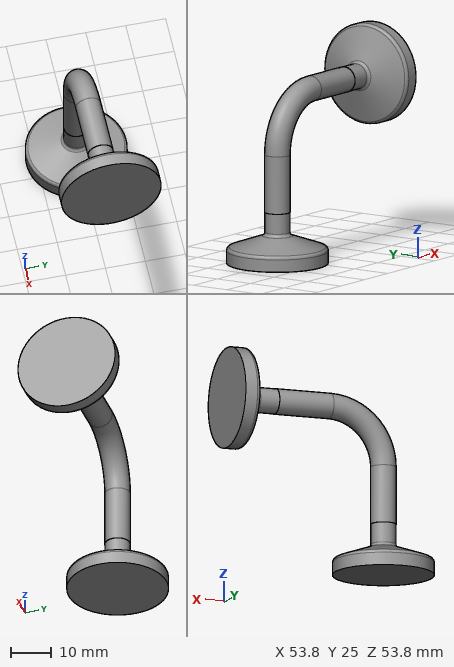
import cadquery as cq

overall_size = 53.8
flange_diameter = 25.0
tube_diameter = 6.35
neck_diameter = 6.25
rim_height = 3.75
cone_top_height = 7.05
neck_top_height = 12.7
edge_radius = 0.9
bend_radius = 14.25

flange_radius = flange_diameter / 2
neck_radius = neck_diameter / 2
arm_length = overall_size - flange_radius
straight_end = arm_length - bend_radius


def make_flange():
    """Round foot with a conical top and a neck, standing along +Z."""
    profile = (
        cq.Workplane("XZ")
        .lineTo(flange_radius, 0)
        .lineTo(flange_radius, rim_height)
        .lineTo(neck_radius, cone_top_height)
        .lineTo(neck_radius, neck_top_height)
        .lineTo(0, neck_top_height)
        .close()
    )
    body = profile.revolve(360, (0, 0, 0), (0, 1, 0))
    cone_edges = body.faces("%CONE").edges("%CIRCLE")
    return cone_edges.fillet(edge_radius)


def make_tube():
    """Round bar with a quarter bend, running from one neck to the other."""
    path = (
        cq.Workplane("XZ")
        .moveTo(0, neck_top_height)
        .lineTo(0, straight_end)
        .radiusArc((bend_radius, arm_length), bend_radius)
        .lineTo(arm_length - neck_top_height, arm_length)
    )
    section = cq.Workplane("XY").workplane(offset=neck_top_height).circle(tube_diameter / 2)
    return section.sweep(path)


flange_placements = [
    (0, (0, 0, 0)),
    (-90, (arm_length, 0, arm_length)),
]

flanges = []
for tilt, centre in flange_placements:
    flange = make_flange().rotate((0, 0, 0), (0, 1, 0), tilt).translate(centre)
    flanges.append(flange.val())

tube = make_tube()

result = cq.Compound.makeCompound([tube.val(), *flanges])